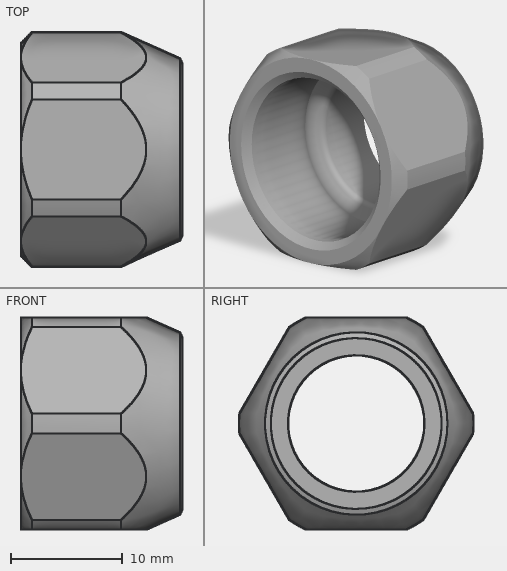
import cadquery as cq
import math

length = 14.5
corner_radius = 10.5
across_flats = 19.0
flat_radius = across_flats / 2

front_chamfer = corner_radius - flat_radius
cone_start = 8.99
cone_angle = 24.0
end_chamfer_length = 0.25
end_face_radius = 7.65
cone_end = length - end_chamfer_length
cone_end_radius = corner_radius - (cone_end - cone_start) * math.tan(math.radians(cone_angle))

mouth_radius = 8.2
bore_radius = 7.52
mouth_depth = mouth_radius - bore_radius
seat_start = 8.05
seat_angle = 60.0
hole_radius = 6.1
seat_rounding = 0.67

seat_slope = math.radians(seat_angle)
rounding_center_radius = hole_radius + seat_rounding
rounding_start_radius = rounding_center_radius - seat_rounding * math.cos(seat_slope)
rounding_start = seat_start + (bore_radius - rounding_start_radius) / math.tan(seat_slope)
rounding_end = rounding_start + seat_rounding * math.sin(seat_slope)
rounding_middle = rounding_end - seat_rounding * math.sin(seat_slope / 2)
rounding_middle_radius = rounding_center_radius - seat_rounding * math.cos(seat_slope / 2)


def revolve_about_x(profile):
    """Revolve an (x, radius) profile a full turn about the X axis."""
    return cq.Workplane("XY").polyline(profile).close().revolve(360, (0, 0, 0), (1, 0, 0))


def hexagon_prism():
    """Hexagonal bar along X with two flats facing +Z and -Z."""
    across_corners = across_flats / math.cos(math.pi / 6)
    return cq.Workplane("YZ").polygon(6, across_corners).extrude(length)


def outer_envelope():
    """Turned outside: front chamfer, rounded corners, tapered shoulder and end chamfer."""
    return revolve_about_x([
        (0, 0),
        (0, flat_radius),
        (front_chamfer, corner_radius),
        (cone_start, corner_radius),
        (cone_end, cone_end_radius),
        (length, end_face_radius),
        (length, 0),
    ])


def bore():
    """Through bore: tapered mouth, straight bore, conical seat, rounded edge and hole."""
    profile = (
        cq.Workplane("XY")
        .lineTo(0, mouth_radius)
        .lineTo(mouth_depth, bore_radius)
        .lineTo(seat_start, bore_radius)
        .lineTo(rounding_start, rounding_start_radius)
        .threePointArc((rounding_middle, rounding_middle_radius), (rounding_end, hole_radius))
        .lineTo(length, hole_radius)
        .lineTo(length, 0)
        .close()
    )
    return profile.revolve(360, (0, 0, 0), (1, 0, 0))


result = hexagon_prism().intersect(outer_envelope()).cut(bore())